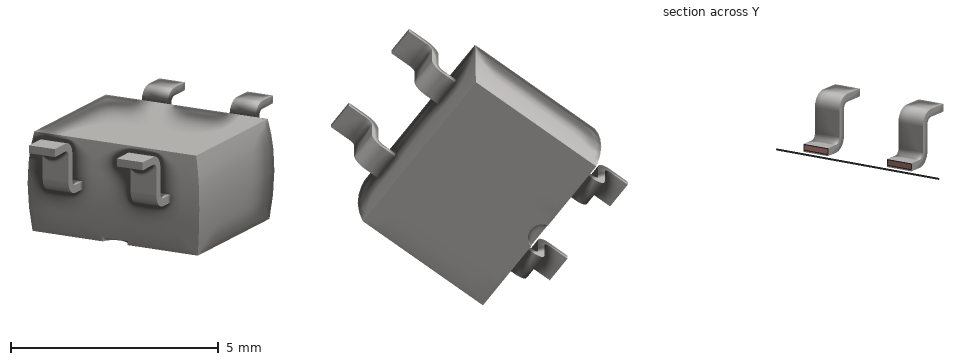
import cadquery as cq

overall_y = 6.6
overall_z = 2.62

belt_x = 4.7
belt_y = 3.8
top_x = 4.435
top_y = 3.625
bottom_x = 4.53
bottom_y = 3.63
housing_height = 2.5
belt_bottom = 1.08
belt_top = 1.385

notch_radius = 0.35
notch_depth = 0.105

lead_width = 0.705
lead_thickness = 0.2
lead_pitch = 2.41
lead_rise = 1.36
riser_outer_y = 2.61
bend_inner_radius = 0.15
bend_outer_radius = bend_inner_radius + lead_thickness


def make_housing():
    sections = [
        (0, bottom_x, bottom_y),
        (belt_bottom, belt_x, belt_y),
        (belt_top, belt_x, belt_y),
        (housing_height, top_x, top_y),
    ]
    wires = [
        cq.Workplane("XY", origin=(0, 0, height)).rect(size_x, size_y).wires().val()
        for height, size_x, size_y in sections
    ]
    block = cq.Workplane(cq.Solid.makeLoft(wires))
    notch = (
        cq.Workplane("XY")
        .center(0, -belt_y / 2)
        .circle(notch_radius)
        .extrude(notch_depth)
    )
    return block.cut(notch)


def make_lead(housing):
    """Z-bent lead on the +Y side, centred on X = 0, its root fitted to the housing wall."""
    foot_end_y = overall_y / 2
    root_y = top_y / 2
    foot_top = overall_z
    foot_bottom = foot_top - lead_thickness
    root_bottom = overall_z - lead_rise
    root_top = root_bottom + lead_thickness
    riser_inner_y = riser_outer_y - lead_thickness

    root_bend_y = riser_outer_y - bend_outer_radius
    root_bend_z = root_bottom + bend_outer_radius
    foot_bend_y = riser_inner_y + bend_outer_radius
    foot_bend_z = foot_top - bend_outer_radius

    strip = (
        cq.Workplane("YZ")
        .moveTo(root_y, root_bottom)
        .lineTo(root_bend_y, root_bottom)
        .radiusArc((riser_outer_y, root_bend_z), -bend_outer_radius)
        .lineTo(riser_outer_y, foot_bend_z)
        .radiusArc((foot_bend_y, foot_bottom), bend_inner_radius)
        .lineTo(foot_end_y, foot_bottom)
        .lineTo(foot_end_y, foot_top)
        .lineTo(foot_bend_y, foot_top)
        .radiusArc((riser_inner_y, foot_bend_z), -bend_outer_radius)
        .lineTo(riser_inner_y, root_bend_z)
        .radiusArc((root_bend_y, root_top), bend_inner_radius)
        .lineTo(root_y, root_top)
        .close()
        .extrude(lead_width / 2, both=True)
    )
    return strip.cut(housing)


housing = make_housing()
lead = make_lead(housing)

leads = []
for turn in (0, 180):
    for lead_x in (-lead_pitch / 2, lead_pitch / 2):
        placed_lead = lead.rotate((0, 0, 0), (0, 0, 1), turn).translate((lead_x, 0, 0))
        leads.append(placed_lead.solids().val())

result = cq.Compound.makeCompound([*housing.solids().vals(), *leads])